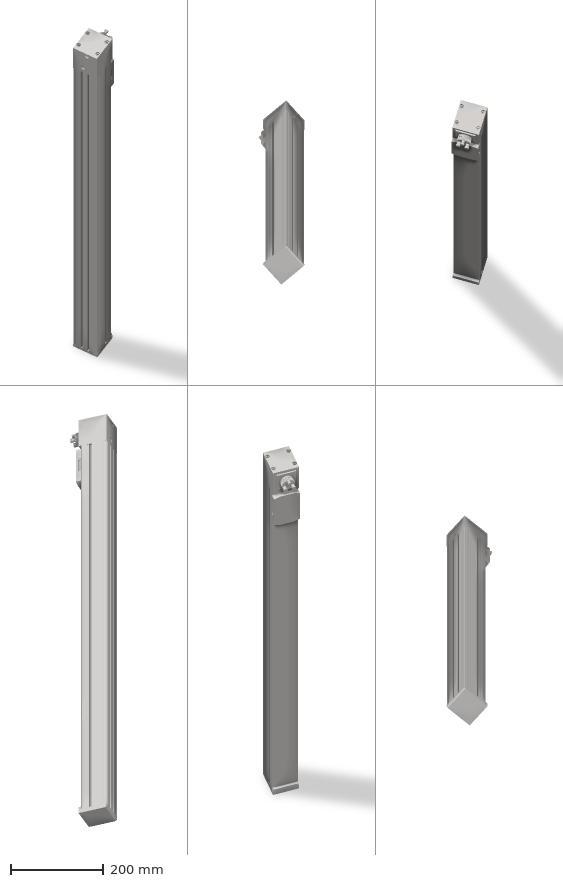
import cadquery as cq
import math

length = 1016.0
width = 60.0
foot_height = 10.0
head_bottom = 949.0
profile_depth = 60.0
head_depth = 66.0

profile_edge_fillet = 1.0
front_slot_x = 8.0
front_slot_width = 5.0
front_slot_depth = 6.0
side_recess_low_y = 36.0
side_recess_width = 12.0
side_recess_depth = 1.0
side_slot_width = 6.0
side_slot_depth = 6.0
narrow_groove_width = 3.0
narrow_groove_depth = 1.0
front_groove_x = 24.0
side_groove_ys = (3.6, 9.7)

foot_chamfer = 3.0
foot_lip_top = 16.0
foot_lip_inset = 1.0

top_screw_x = 24.0
top_screw_y_offset = 19.0
screw_bore_diameter = 10.0
screw_bore_depth = 4.0
socket_diameter = 5.5
socket_depth = 3.0
port_steps = ((10.1, 4.0), (8.6, 10.0), (4.2, 13.0))
port_x = 4.6
port_heights = (964.0, 1008.0)

cover_bottom = 854.0
cover_top = 944.0
cover_thickness = 12.0
cover_slope_run = 14.0
cover_slope_drop = 4.0
cover_slot_width = 7.0
cover_slot_steps = ((883.0, 916.0, 1.0), (886.0, 913.0, 2.0))

connector_z = 987.0
flange_size = 45.0
flange_thickness = 3.0
collar_diameter = 30.0
collar_length = 5.0
nut_diameter = 30.0
nut_length = 8.0
nut_chamfer = 2.0
nut_flute_count = 32
nut_flute_diameter = 2.4
pin_circle_radius = 11.0
pin_length = 10.0
upper_pin_diameter = 7.0
upper_pin_head_diameter = 8.6
lower_pin_diameter = 8.6
lower_pin_head_diameter = 10.0
pin_head_length = 3.0
upper_pin_angle = 90
lower_pin_angles = (210, 330)


def block(size_x, y_min, y_max, z_min, z_max, x_center=0.0):
    """Box centred on x_center that spans the given Y and Z ranges."""
    return (
        cq.Workplane("XY")
        .box(size_x, y_max - y_min, z_max - z_min, centered=(True, False, False))
        .translate((x_center, y_min, z_min))
    )


def rod_along_y(diameter, y_start, rod_length, x, z):
    """Cylinder that runs from y_start in the +Y direction."""
    axis = cq.Vector(0, 1, 0)
    return cq.Workplane(cq.Solid.makeCylinder(diameter / 2, rod_length, cq.Vector(x, y_start, z), axis))


def make_profile():
    """Extruded bar with two front slots, a stepped slot in each side and narrow corner grooves."""
    half_width = width / 2

    def groove(size_x, y_min, y_max, x_center=0.0):
        return block(size_x, y_min, y_max, foot_height, head_bottom, x_center)

    profile = groove(width, 0, profile_depth).edges("|Z").fillet(profile_edge_fillet)

    side_slot_high_y = side_recess_low_y + side_slot_width
    side_recess_high_y = side_recess_low_y + side_recess_width
    for side in (-1, 1):
        face_x = side * half_width
        profile = profile.cut(groove(2 * side_recess_depth, side_recess_low_y, side_recess_high_y, face_x))
        profile = profile.cut(groove(2 * side_slot_depth, side_recess_low_y, side_slot_high_y, face_x))
        profile = profile.cut(groove(front_slot_width, 0, front_slot_depth, side * front_slot_x))
        profile = profile.cut(groove(narrow_groove_width, 0, narrow_groove_depth, side * front_groove_x))
        for y in side_groove_ys:
            low_y = y - narrow_groove_width / 2
            profile = profile.cut(
                groove(2 * narrow_groove_depth, low_y, low_y + narrow_groove_width, face_x)
            )
    return profile


def make_foot():
    """End plate with a chamfered front lower edge and a lip behind the profile."""
    foot = block(width, 0, head_depth, 0, foot_height)
    foot = foot.edges("|X and <Y and <Z").chamfer(foot_chamfer)
    lip = block(width - 2 * foot_lip_inset, profile_depth, head_depth, foot_height, foot_lip_top)
    return foot.union(lip)


def make_head():
    """Drive head with four sunk top screws and two stepped front ports."""
    head = block(width, 0, head_depth, head_bottom, length)

    top = cq.Workplane("XY", origin=(0, head_depth / 2, length))
    screws = top.rect(2 * top_screw_x, 2 * top_screw_y_offset, forConstruction=True).vertices()
    head = head.cut(screws.circle(screw_bore_diameter / 2).extrude(-screw_bore_depth))
    head = head.cut(screws.circle(socket_diameter / 2).extrude(-screw_bore_depth - socket_depth))

    for x, z in zip((-port_x, port_x), port_heights):
        for diameter, depth in port_steps:
            head = head.cut(rod_along_y(diameter, 0, depth, x, z))
    return head


def make_cover():
    """Plate on the back of the profile with sloped corners and a stepped slot in each side."""
    half_width = width / 2
    shoulder_x = half_width - cover_slope_run
    outline = [
        (-shoulder_x, cover_bottom),
        (shoulder_x, cover_bottom),
        (half_width, cover_bottom + cover_slope_drop),
        (half_width, cover_top - cover_slope_drop),
        (shoulder_x, cover_top),
        (-shoulder_x, cover_top),
        (-half_width, cover_top - cover_slope_drop),
        (-half_width, cover_bottom + cover_slope_drop),
    ]
    front_plane = cq.Workplane("XZ", origin=(0, profile_depth, 0))
    cover = front_plane.polyline(outline).close().extrude(-cover_thickness)
    slot_back_y = profile_depth + cover_slot_width
    for face_x in (-half_width, half_width):
        for low_z, high_z, depth in cover_slot_steps:
            cover = cover.cut(block(2 * depth, profile_depth, slot_back_y, low_z, high_z, face_x))
    return cover


def make_connector():
    """Flanged connector with a fluted nut and three headed pins, of which the lower two are thicker."""
    half_flange = flange_size / 2
    collar_y = head_depth + flange_thickness
    nut_y = collar_y + collar_length
    pin_y = nut_y + nut_length

    connector = block(
        flange_size, head_depth, collar_y, connector_z - half_flange, connector_z + half_flange
    )
    connector = connector.union(rod_along_y(collar_diameter, collar_y, collar_length, 0, connector_z))

    nut = rod_along_y(nut_diameter, nut_y, nut_length, 0, connector_z).faces(">Y").chamfer(nut_chamfer)
    for i in range(nut_flute_count):
        angle = 2 * math.pi * i / nut_flute_count
        x = nut_diameter / 2 * math.cos(angle)
        z = connector_z + nut_diameter / 2 * math.sin(angle)
        nut = nut.cut(rod_along_y(nut_flute_diameter, nut_y, nut_length, x, z))
    connector = connector.union(nut)

    pins = [(upper_pin_angle, upper_pin_diameter, upper_pin_head_diameter)]
    for angle in lower_pin_angles:
        pins.append((angle, lower_pin_diameter, lower_pin_head_diameter))
    pin_head_y = pin_y + pin_length - pin_head_length
    for angle, shank_diameter, pin_head_diameter in pins:
        x = pin_circle_radius * math.cos(math.radians(angle))
        z = connector_z + pin_circle_radius * math.sin(math.radians(angle))
        connector = connector.union(rod_along_y(shank_diameter, pin_y, pin_length, x, z))
        connector = connector.union(rod_along_y(pin_head_diameter, pin_head_y, pin_head_length, x, z))
    return connector


profile = make_profile()
foot = make_foot()
head = make_head()
cover = make_cover()
connector = make_connector()

result = cq.Compound.makeCompound(
    [profile.val(), foot.val(), head.val(), cover.val(), connector.val()]
)